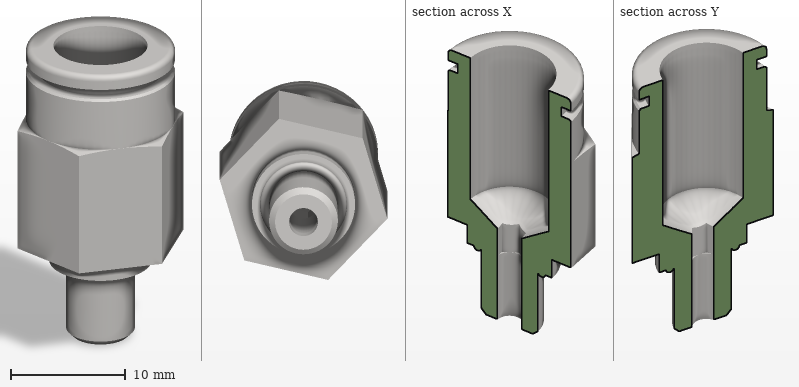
import cadquery as cq
import math

total_height = 27.5
flange_bottom = 7.0
hex_bottom = 9.0
hex_top = 20.5
collar_top = 25.25
cap_bottom = 26.2

across_flats = 13.0
body_diameter = across_flats
neck_diameter = 11.0
flange_diameter = 9.0
stem_diameter = 6.0

cap_fillet = 0.5
collar_chamfer = 0.2
stem_chamfer = 0.52
hex_chamfer_angle = 15.0

seal_section_radius = 0.4
seal_center_radius = 3.38
seal_center_height = 7.07

tube_bore_diameter = 8.2
passage_diameter = 2.5
socket_across_flats = passage_diameter
tube_bore_floor = 12.0
cone_height = 2.0
socket_depth = 3.0


def cylinder(diameter, bottom, top):
    return cq.Workplane("XY").workplane(offset=bottom).circle(diameter / 2).extrude(top - bottom)


def hexagon(flats, bottom, top):
    """Hexagonal prism with two corners on the X axis."""
    corner_diameter = flats / math.cos(math.radians(30))
    return cq.Workplane("XY").workplane(offset=bottom).polygon(6, corner_diameter).extrude(top - bottom)


def wrench_body():
    """Hexagon whose upper corners are trimmed by a shallow cone."""
    corner_radius = across_flats / 2 / math.cos(math.radians(30))
    flat_radius = across_flats / 2
    drop = (corner_radius - flat_radius) * math.tan(math.radians(hex_chamfer_angle))
    envelope = (
        cq.Workplane("XZ")
        .moveTo(0, hex_bottom)
        .lineTo(corner_radius, hex_bottom)
        .lineTo(corner_radius, hex_top - drop)
        .lineTo(flat_radius, hex_top)
        .lineTo(0, hex_top)
        .close()
        .revolve(360, (0, 0, 0), (0, 1, 0))
    )
    return hexagon(across_flats, hex_bottom, hex_top).intersect(envelope)


def seal_ring():
    """Torus around the stem, merging with the stem and flange."""
    return (
        cq.Workplane("XZ")
        .center(seal_center_radius, seal_center_height)
        .circle(seal_section_radius)
        .revolve(360, (-seal_center_radius, 0, 0), (-seal_center_radius, 1, 0))
    )


def passage():
    """Tube bore, funnel, hexagonal key socket and round through hole."""
    funnel = (
        cq.Workplane("XY")
        .workplane(offset=tube_bore_floor)
        .circle(tube_bore_diameter / 2)
        .workplane(offset=-cone_height)
        .circle(passage_diameter / 2)
        .loft(combine=True)
    )
    socket_bottom = tube_bore_floor - cone_height - socket_depth
    return (
        cylinder(tube_bore_diameter, tube_bore_floor, total_height)
        .union(funnel)
        .union(hexagon(socket_across_flats, socket_bottom, tube_bore_floor))
        .union(cylinder(passage_diameter, 0, tube_bore_floor))
    )


stem = cylinder(stem_diameter, 0, flange_bottom).faces("<Z").chamfer(stem_chamfer)
seal = seal_ring()
flange = cylinder(flange_diameter, flange_bottom, hex_bottom)
collar = cylinder(body_diameter, hex_top, collar_top).faces(">Z").chamfer(collar_chamfer)
neck = cylinder(neck_diameter, collar_top, cap_bottom)
cap = cylinder(body_diameter, cap_bottom, total_height).faces(">Z").edges().fillet(cap_fillet)

solid_body = wrench_body()
for section in (flange, seal, stem, collar, neck, cap):
    solid_body = solid_body.union(section)

result = solid_body.cut(passage())